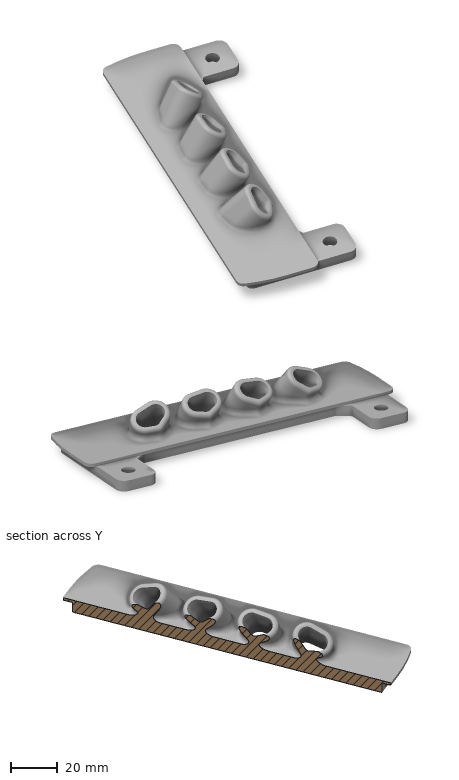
import cadquery as cq
import math

PLATE_WIDTH = 154.0
PLATE_DEPTH = 37.0
PLATE_THICKNESS = 1.5
PLATE_REAR_RADIUS = 3.7
PLATE_FRONT_RADIUS = 3.3
SIDE_CURVE_START = 21.4
SIDE_CURVE_RADIUS = 82.0

BASE_WIDTH = 145.5
BASE_THICKNESS = 5.0
BASE_FRONT = 5.0
BASE_REAR = 35.0
BASE_FRONT_RADIUS = 2.7
LEG_FRONT_SETBACK = 0.4
LEG_FRONT_WIDTH = 4.5
LEG_BLEND_WIDTH = 4.2

TAB_REAR = 56.8
TAB_WIDTH = 19.0
TAB_RADIUS = 4.0
TAB_HOLE_DIAMETER = 6.3
TAB_FLARE_START = 39.0
TAB_FLARE_SLOPE = 1.5

FLAT_HALF = 3.0
BORE_SIDE_RADIUS = 3.6
RIDGE_RADIUS = 2.35
ROOF_ANGLE = 24.0
WALL = 2.6
TUBE_PITCH = 23.6
TUBE_Y = 18.0
TUBE_LENGTH = 13.0
TUBE_TILT = 35.0
FAN_ANGLES = (20.0 / 3, 20.0)
MOUTH_DEPTH = 2.7
MOUTH_FLARE = 5.0
RIM_FILLET = 1.6
ROOT_FILLET = 2.0

ROOT_ZONE_HALF = 60.0
TUBE_OVERRUN = 20.0


def plate():
    half = PLATE_WIDTH / 2
    sweep = math.asin(SIDE_CURVE_START / SIDE_CURVE_RADIUS)
    inset = SIDE_CURVE_RADIUS * (1 - math.cos(sweep))
    mid_y = SIDE_CURVE_START - SIDE_CURVE_RADIUS * math.sin(sweep / 2)
    mid_x = half - SIDE_CURVE_RADIUS * (1 - math.cos(sweep / 2))
    body = (
        cq.Workplane("XY")
        .moveTo(-half + inset, 0)
        .lineTo(half - inset, 0)
        .threePointArc((mid_x, mid_y), (half, SIDE_CURVE_START))
        .lineTo(half, PLATE_DEPTH)
        .lineTo(-half, PLATE_DEPTH)
        .lineTo(-half, SIDE_CURVE_START)
        .threePointArc((-mid_x, mid_y), (-half + inset, 0))
        .close()
        .extrude(PLATE_THICKNESS)
    )
    body = body.edges("|Z and >Y").fillet(PLATE_REAR_RADIUS)
    return body.edges("|Z and <Y").fillet(PLATE_FRONT_RADIUS)


def base():
    outer = BASE_WIDTH / 2
    tab_inner = outer - TAB_WIDTH
    flare_end = tab_inner - TAB_FLARE_SLOPE * (TAB_FLARE_START - BASE_REAR)
    leg_front = BASE_FRONT + LEG_FRONT_SETBACK
    blend_outer = outer - LEG_FRONT_WIDTH
    half_outline = [
        (blend_outer - LEG_BLEND_WIDTH, BASE_FRONT),
        (blend_outer, leg_front),
        (outer, leg_front),
        (outer, TAB_REAR),
        (tab_inner, TAB_REAR),
        (tab_inner, TAB_FLARE_START),
        (flare_end, BASE_REAR),
    ]
    mirrored = [(-x, y) for x, y in reversed(half_outline)]
    body = (
        cq.Workplane("XY")
        .polyline(half_outline + mirrored)
        .close()
        .extrude(-BASE_THICKNESS)
    )
    body = body.edges("|Z and >Y").fillet(TAB_RADIUS)
    body = body.edges("|Z and (<X or >X)").edges("<Y").fillet(BASE_FRONT_RADIUS)
    hole_x = outer - TAB_WIDTH / 2
    hole_y = TAB_REAR - TAB_WIDTH / 2
    holes = (
        cq.Workplane("XY")
        .pushPoints([(-hole_x, hole_y), (hole_x, hole_y)])
        .circle(TAB_HOLE_DIAMETER / 2)
        .extrude(-BASE_THICKNESS)
    )
    return body.cut(holes)


def section(offset):
    """Tube section grown outward by offset, as a wire on the XY plane."""
    side = BORE_SIDE_RADIUS + offset
    normal = math.radians(90 - ROOF_ANGLE)
    ridge_y = (FLAT_HALF * math.cos(normal) + side - RIDGE_RADIUS) / math.sin(normal)

    def side_point(angle):
        return FLAT_HALF + side * math.cos(angle), side * math.sin(angle)

    def mirror(point):
        return -point[0], point[1]

    roof_low = side_point(normal)
    side_mid = side_point((normal - math.pi / 2) / 2)
    roof_high = (RIDGE_RADIUS * math.cos(normal), ridge_y + RIDGE_RADIUS * math.sin(normal))
    return (
        cq.Workplane("XY")
        .moveTo(-FLAT_HALF, -side)
        .lineTo(FLAT_HALF, -side)
        .threePointArc(side_mid, roof_low)
        .lineTo(*roof_high)
        .threePointArc((0, ridge_y + RIDGE_RADIUS), mirror(roof_high))
        .lineTo(*mirror(roof_low))
        .threePointArc(mirror(side_mid), (-FLAT_HALF, -side))
        .close()
    )


def place(solid, x, fan):
    """Tilt a tube solid to the rear, fan it sideways and set it on the plate."""
    return (
        solid.rotate((0, 0, 0), (1, 0, 0), -TUBE_TILT)
        .rotate((0, 0, 0), (0, 1, 0), fan)
        .translate((x, TUBE_Y, PLATE_THICKNESS))
    )


def nozzle(x, fan):
    """Plate carrying one solid tube with its root fillet."""
    tube = section(WALL).extrude(TUBE_LENGTH + TUBE_OVERRUN)
    tube = tube.faces(">Z").edges().fillet(RIM_FILLET)
    tube = tube.translate((0, 0, -TUBE_OVERRUN))
    above_plate = cq.Workplane("XY").box(
        PLATE_WIDTH, 2 * PLATE_DEPTH, 2 * TUBE_OVERRUN, centered=(True, True, False)
    )
    body = plate().union(place(tube, x, fan).intersect(above_plate))
    roots = cq.selectors.BoxSelector(
        (-ROOT_ZONE_HALF, 1, PLATE_THICKNESS - 0.1),
        (ROOT_ZONE_HALF, PLATE_DEPTH - 1, PLATE_THICKNESS + 0.1),
    )
    return body.edges(roots).fillet(ROOT_FILLET)


def bore(x, fan):
    """Straight bore through plate and base, ending in a flared mouth."""
    straight = section(0).extrude(TUBE_LENGTH + TUBE_OVERRUN)
    straight = straight.translate((0, 0, -TUBE_OVERRUN))
    mouth = section(0).extrude(MOUTH_DEPTH, taper=-MOUTH_FLARE)
    mouth = mouth.translate((0, 0, TUBE_LENGTH - MOUTH_DEPTH))
    return place(straight.union(mouth), x, fan)


result = plate().union(base())
tubes = [((index + 0.5) * TUBE_PITCH, fan) for index, fan in enumerate(FAN_ANGLES)]
for x, fan in tubes:
    right_nozzle = nozzle(x, fan)
    result = result.union(right_nozzle).union(right_nozzle.mirror("YZ"))
for x, fan in tubes:
    right_bore = bore(x, fan)
    result = result.cut(right_bore).cut(right_bore.mirror("YZ"))